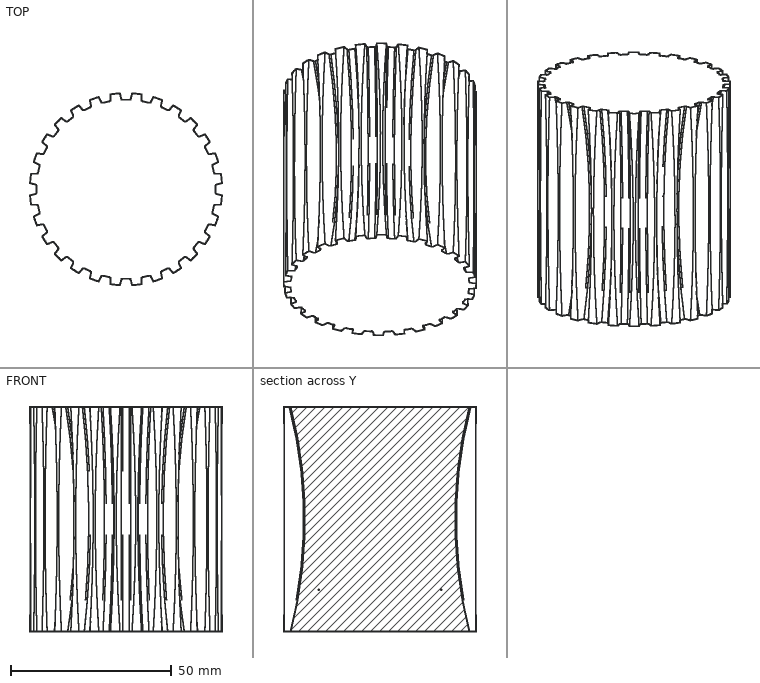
import cadquery as cq
import math

length = 70.0
outer_diameter = 60.0
groove_count = 28
end_depth = 2.1
middle_depth = 6.6
floor_width = 2.7
flank_angle = 14.5
root_radius = 0.5
overshoot = 1.4

outer_radius = outer_diameter / 2
half_length = length / 2

floor_rise = middle_depth - end_depth
floor_arc_radius = (half_length**2 + floor_rise**2) / (2 * floor_rise)
middle_floor_radius = outer_radius - middle_depth
arc_centre_distance = middle_floor_radius + floor_arc_radius


def groove_profile():
    """Trapezoid in XY with rounded root corners; its wide side lies outside the part on -Y."""
    mouth_distance = outer_radius + overshoot
    flank_height = mouth_distance - middle_floor_radius
    half_floor = floor_width / 2
    half_mouth = half_floor + flank_height * math.tan(math.radians(flank_angle))
    trapezoid = cq.Sketch().polygon([
        (-half_floor, -middle_floor_radius),
        (half_floor, -middle_floor_radius),
        (half_mouth, -mouth_distance),
        (-half_mouth, -mouth_distance),
        (-half_floor, -middle_floor_radius),
    ])
    return trapezoid.vertices(">Y").fillet(root_radius)


def groove_cutter():
    """Revolve the profile about an X-parallel axis outside the part, past both ends."""
    mouth_arc_radius = floor_arc_radius - middle_depth - overshoot
    half_sweep = math.degrees(math.asin((half_length + overshoot) / mouth_arc_radius))
    axis_start = (0, -arc_centre_distance, 0)
    axis_end = (1, -arc_centre_distance, 0)
    sector = cq.Workplane("XY").placeSketch(groove_profile()).revolve(2 * half_sweep, axis_start, axis_end)
    return sector.rotate(axis_start, axis_end, -half_sweep)


result = cq.Workplane("XY").circle(outer_radius).extrude(half_length, both=True)

cutter = groove_cutter()
for index in range(groove_count):
    angle = index * 360 / groove_count
    result = result.cut(cutter.rotate((0, 0, 0), (0, 0, 1), angle))